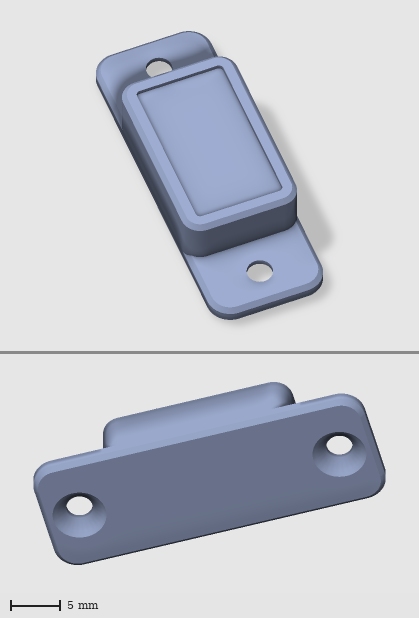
import cadquery as cq

plate_length = 35.0
width = 12.5
plate_thickness = 2.0
plate_corner_radius = 2.5

block_length = 20.0
total_height = 7.0
block_corner_radius = 2.0

edge_chamfer = 0.5

rim_width = 1.5
recess_depth = 0.5
recess_corner_radius = 0.5

hole_diameter = 2.7
countersink_diameter = 5.5
countersink_angle = 90
hole_spacing = 27.5


def make_plate():
    """Rounded plate with its top and bottom edges chamfered."""
    return (
        cq.Workplane("XY")
        .box(plate_length, width, plate_thickness, centered=(True, True, False))
        .edges("|Z")
        .fillet(plate_corner_radius)
        .faces("<Z or >Z")
        .chamfer(edge_chamfer)
    )


def make_block():
    """Rounded block whose foot fills the chamfer along the plate's long edges."""
    foot_height = plate_thickness - edge_chamfer
    return (
        cq.Workplane("XY")
        .workplane(offset=foot_height)
        .box(block_length, width, total_height - foot_height, centered=(True, True, False))
        .edges("|Z")
        .fillet(block_corner_radius)
        .faces(">Z")
        .chamfer(edge_chamfer)
    )


def make_recess():
    """Rounded pocket sunk into the top of the block, leaving an even rim."""
    return (
        cq.Workplane("XY")
        .workplane(offset=total_height - recess_depth)
        .rect(block_length - 2 * rim_width, width - 2 * rim_width)
        .extrude(recess_depth)
        .edges("|Z")
        .fillet(recess_corner_radius)
    )


def drill_holes(body):
    """Cut one countersunk hole through each end of the plate from below."""
    return (
        body.faces("<Z")
        .workplane(origin=(0, 0, 0))
        .rarray(hole_spacing, 0.35, 2, 1)
        .cskHole(hole_diameter, countersink_diameter, countersink_angle)
    )


body = make_plate().union(make_block()).cut(make_recess())
result = drill_holes(body)